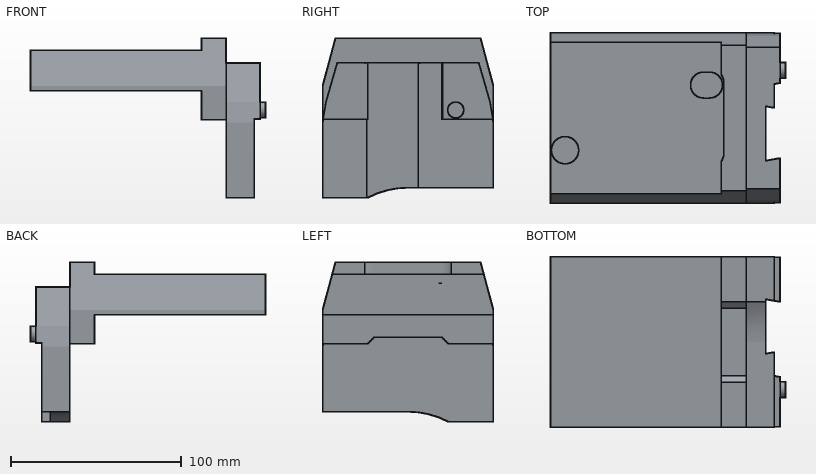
import cadquery as cq
import math

length = 137.5
width = 100.0
half_width = width / 2

shoulder_front = 100.0
back_start = 114.4
back_face = 130.9
pad_face = 134.3

shoulder_top = 93.5
plate_top = 86.5
plate_bottom = 62.5
taper_start = 65.6
shoulder_bottom = 45.6
side_taper = 15.0

relief_height = 4.0
relief_half_width = 23.6

recess_depth = 1.5
recess_half_width = 20.2
recess_end_run = 5.1

pocket_depth = 5.5
round_pocket_diameter = 16.0
round_pocket_x = 8.5
round_pocket_y = -18.8
slot_width = 15.1
slot_length = 18.7
slot_x = 91.3
slot_y = 19.2

back_top = 79.0
back_top_half_width = 41.4
back_break = 56.1
back_break_half_width = 48.0
back_full_width_height = 44.0
pad_bottom = 46.0
foot_step = 5.9
foot_arc_run = 23.6

notch_floor = 126.0
notch_low_y = -24.9
notch_high_y = 6.7
cutback_y = 19.8
flank_angle = 10.0
flank_slope = math.tan(math.radians(flank_angle))

pin_diameter = 9.4
pin_y = 27.9
pin_z = 51.4


def extrude_x(profile, start, end):
    """Turn a YZ profile into a prism between two X positions."""
    return profile.extrude(end - start).translate((start, 0, 0))


def tapered_block(start, end, bottom, top):
    """Block with upright lower sides and sides leaning inward above."""
    top_half = half_width - (top - taper_start) * math.tan(math.radians(side_taper))
    profile = cq.Workplane("YZ").polyline([
        (-half_width, bottom),
        (half_width, bottom),
        (half_width, taper_start),
        (top_half, top),
        (-top_half, top),
        (-half_width, taper_start),
    ]).close()
    return extrude_x(profile, start, end)


def shoulder_relief():
    inner_half = relief_half_width - relief_height
    profile = cq.Workplane("YZ").polyline([
        (-relief_half_width, shoulder_bottom),
        (relief_half_width, shoulder_bottom),
        (inner_half, shoulder_bottom + relief_height),
        (-inner_half, shoulder_bottom + relief_height),
    ]).close()
    return extrude_x(profile, shoulder_front, back_start)


def ridge_recess():
    radius = (recess_end_run**2 + recess_depth**2) / (2 * recess_depth)
    half_angle = math.asin(recess_end_run / radius) / 2
    floor_x = shoulder_front + recess_depth
    mid_x = floor_x - radius * (1 - math.cos(half_angle))
    mid_y = recess_half_width + radius * math.sin(half_angle)
    end_y = recess_half_width + recess_end_run
    return (
        cq.Workplane("XY", origin=(0, 0, plate_top))
        .moveTo(shoulder_front, -end_y)
        .threePointArc((mid_x, -mid_y), (floor_x, -recess_half_width))
        .lineTo(floor_x, recess_half_width)
        .threePointArc((mid_x, mid_y), (shoulder_front, end_y))
        .close()
        .extrude(shoulder_top - plate_top)
    )


def plate_pockets():
    floor = cq.Workplane("XY", origin=(0, 0, plate_top - pocket_depth))
    round_pocket = (
        floor.center(round_pocket_x, round_pocket_y)
        .circle(round_pocket_diameter / 2)
        .extrude(pocket_depth)
    )
    slot = floor.center(slot_x, slot_y).slot2D(slot_length, slot_width).extrude(pocket_depth)
    return round_pocket.union(slot)


def back_wall():
    radius = (foot_arc_run**2 + foot_step**2) / (2 * foot_step)
    half_angle = math.asin(foot_arc_run / radius) / 2
    arc_middle = (-radius * math.sin(half_angle), foot_step - radius * (1 - math.cos(half_angle)))
    profile = (
        cq.Workplane("YZ")
        .moveTo(-half_width, 0)
        .lineTo(-foot_arc_run, 0)
        .threePointArc(arc_middle, (0, foot_step))
        .lineTo(half_width, foot_step)
        .lineTo(half_width, back_full_width_height)
        .lineTo(back_break_half_width, back_break)
        .lineTo(back_top_half_width, back_top)
        .lineTo(-back_top_half_width, back_top)
        .lineTo(-back_break_half_width, back_break)
        .lineTo(-half_width, back_full_width_height)
        .close()
    )
    wall = extrude_x(profile, back_start, pad_face)
    below_pads = cq.Workplane("XY").box(
        pad_face - back_face, width, pad_bottom, centered=(False, True, False)
    ).translate((back_face, 0, 0))
    return wall.cut(below_pads).cut(rear_notch())


def rear_notch():
    low_flank_rise = (pad_face - notch_floor) * flank_slope
    high_flank_drop = (back_face - notch_floor) * flank_slope
    cutback_rise = (pad_face - back_face) * flank_slope
    return cq.Workplane("XY").polyline([
        (notch_floor, notch_low_y),
        (pad_face, notch_low_y + low_flank_rise),
        (pad_face, cutback_y + cutback_rise),
        (back_face, cutback_y),
        (back_face, notch_high_y - high_flank_drop),
        (notch_floor, notch_high_y),
    ]).close().extrude(back_top)


def locating_pin():
    profile = cq.Workplane("YZ").center(pin_y, pin_z).circle(pin_diameter / 2)
    return extrude_x(profile, back_face, length)


plate = tapered_block(0, back_start, plate_bottom, plate_top)
shoulder = tapered_block(shoulder_front, back_start, shoulder_bottom, shoulder_top)
shoulder = shoulder.cut(shoulder_relief()).cut(ridge_recess())
result = plate.union(shoulder).cut(plate_pockets()).union(back_wall()).union(locating_pin())